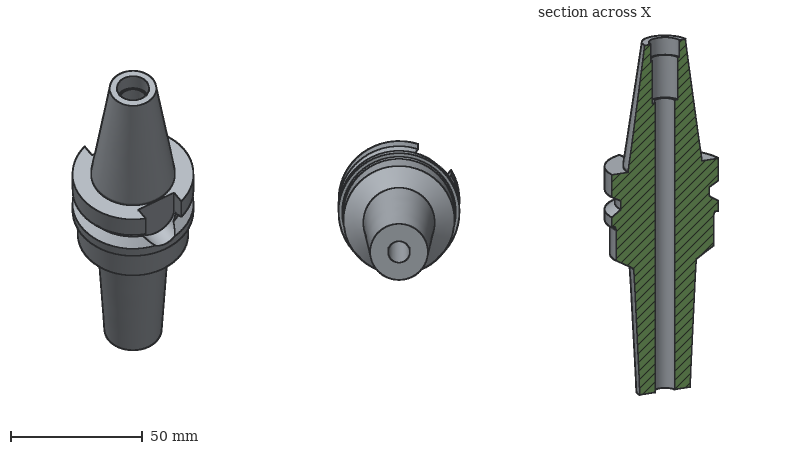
import cadquery as cq

overall_length = 138.4
nose_length = 50.4
body_bottom = 54.7
body_top = 66.8
lower_flange_bottom = 68.1
lower_flange_top = 72.2
groove_bottom = 74.7
groove_top = 78.0
upper_flange_bottom = 80.1
flange_top = 89.1
collar_height = 0.8

flange_radius = 23.0
groove_radius = 19.1
relief_radius = 21.6
body_radius = 21.0
nose_end_radius = 11.0
nose_root_radius = 13.5
taper_large_radius = 15.9
taper_small_radius = 8.9

mouth_radius = 6.1
mouth_depth = 6.8
step_radius = 5.4
step_depth = 23.5
bore_radius = 4.2

slot_width = 16.0
slot_bottom = 71.0
slot_floor_distance = 16.3


def make_holder():
    """Revolve the nose, body, grooved flange and taper about Z."""
    profile = [
        (0, 0),
        (nose_end_radius, 0),
        (nose_root_radius, nose_length),
        (body_radius, body_bottom),
        (body_radius, body_top),
        (relief_radius, lower_flange_bottom),
        (flange_radius, lower_flange_bottom),
        (flange_radius, lower_flange_top),
        (groove_radius, groove_bottom),
        (groove_radius, groove_top),
        (flange_radius, upper_flange_bottom),
        (flange_radius, flange_top),
        (taper_large_radius, flange_top),
        (taper_large_radius, flange_top + collar_height),
        (taper_small_radius, overall_length),
        (0, overall_length),
    ]
    return cq.Workplane("XZ").polyline(profile).close().revolve(360, (0, 0), (0, 1))


def make_bore():
    """Through bore with a wide, twice-stepped mouth in the taper end."""
    profile = [
        (0, 0),
        (bore_radius, 0),
        (bore_radius, overall_length - step_depth),
        (step_radius, overall_length - step_depth),
        (step_radius, overall_length - mouth_depth),
        (mouth_radius, overall_length - mouth_depth),
        (mouth_radius, overall_length),
        (0, overall_length),
    ]
    return cq.Workplane("XZ").polyline(profile).close().revolve(360, (0, 0), (0, 1))


def make_drive_slot():
    """Round-bottomed slot cutter on the +X side, open at the flange top."""
    half_width = slot_width / 2
    arc_center = slot_bottom + half_width
    return (
        cq.Workplane("YZ", origin=(slot_floor_distance, 0, 0))
        .moveTo(-half_width, flange_top)
        .lineTo(-half_width, arc_center)
        .threePointArc((0, slot_bottom), (half_width, arc_center))
        .lineTo(half_width, flange_top)
        .close()
        .extrude(flange_radius)
    )


result = make_holder().cut(make_bore())
for angle in (0, 180):
    result = result.cut(make_drive_slot().rotate((0, 0, 0), (0, 0, 1), angle))